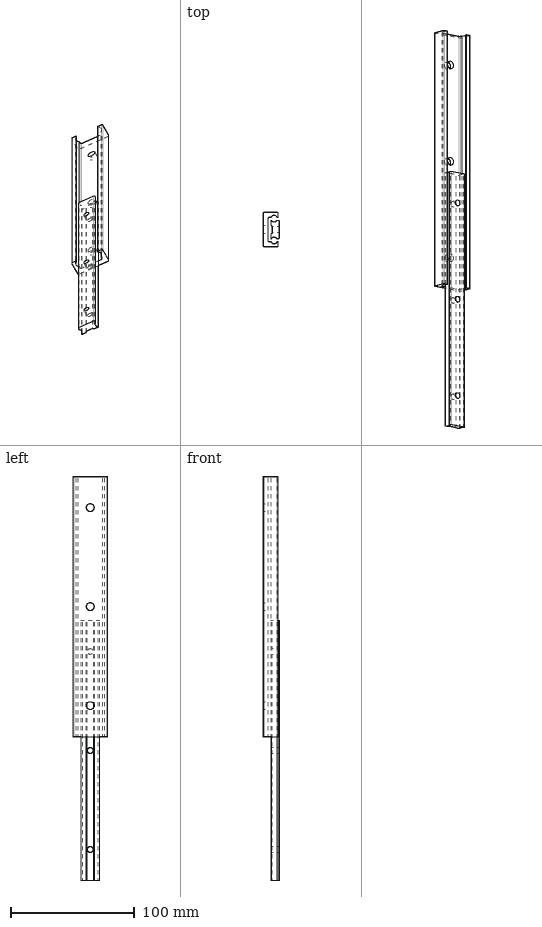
import cadquery as cq

total_length = 326.0
rail_length = 210.0
outer_width = 28.0
outer_depth = 12.0
total_depth = 13.0

web_thickness = 4.0
flange_thickness = 4.2
corner_radius = 1.0
inside_corner_radius = 1.0

inner_width = 15.0
inner_depth = 7.0
face_corner_radius = 1.0
channel_mouth_width = 7.2
channel_floor_width = 5.5
channel_depth = 1.0

track_x = 8.8
track_radius = 2.5
outer_track_depth = 1.5
inner_track_depth = 1.3

hole_end_distance = 25.0
hole_spacing = (rail_length - 2 * hole_end_distance) / 2
hole_count = 3
outer_hole_diameter = 6.2
inner_hole_diameter = 4.5


def block(x_start, x_end, width, z_start):
    """Full-length bar centred on Y."""
    return cq.Workplane("XY").box(
        x_end - x_start, width, rail_length, centered=(False, True, False)
    ).translate((x_start, 0, z_start))


def ball_tracks(track_y, z_start):
    """Pair of round cutters along both sides of a rail."""
    return (
        cq.Workplane("XY", origin=(0, 0, z_start))
        .pushPoints([(track_x, -track_y), (track_x, track_y)])
        .circle(track_radius)
        .extrude(rail_length)
    )


def mounting_holes(diameter, z_start):
    """Row of round cutters along X, on the centre line of a rail."""
    centers = [(0, z_start + hole_end_distance + i * hole_spacing) for i in range(hole_count)]
    return cq.Workplane("YZ").pushPoints(centers).circle(diameter / 2).extrude(total_depth)


def back_channel(back_x):
    """Tapered channel cutter, narrower at its floor."""
    floor_x = back_x + channel_depth
    outline = [
        (back_x, -channel_mouth_width / 2),
        (floor_x, -channel_floor_width / 2),
        (floor_x, channel_floor_width / 2),
        (back_x, channel_mouth_width / 2),
    ]
    return cq.Workplane("XY").polyline(outline).close().extrude(rail_length)


def make_outer_rail():
    """C-shaped rail, open toward +X."""
    z_start = total_length - rail_length
    opening_width = outer_width - 2 * flange_thickness
    track_y = opening_width / 2 + outer_track_depth - track_radius
    rail = block(0, outer_depth, outer_width, z_start).edges("|Z").fillet(corner_radius)
    opening = block(web_thickness, outer_depth, opening_width, z_start)
    rail = rail.cut(opening.edges("|Z and <X").fillet(inside_corner_radius))
    rail = rail.cut(ball_tracks(track_y, z_start))
    return rail.cut(mounting_holes(outer_hole_diameter, z_start))


def make_inner_rail():
    """Sliding bar between the flanges, pulled out toward -Z."""
    back_x = total_depth - inner_depth
    track_y = inner_width / 2 - inner_track_depth + track_radius
    rail = block(back_x, total_depth, inner_width, 0).edges("|Z and >X").fillet(face_corner_radius)
    rail = rail.cut(back_channel(back_x))
    rail = rail.cut(ball_tracks(track_y, 0))
    return rail.cut(mounting_holes(inner_hole_diameter, 0))


outer_rail = make_outer_rail()
inner_rail = make_inner_rail()

result = cq.Compound.makeCompound([outer_rail.val(), inner_rail.val()])